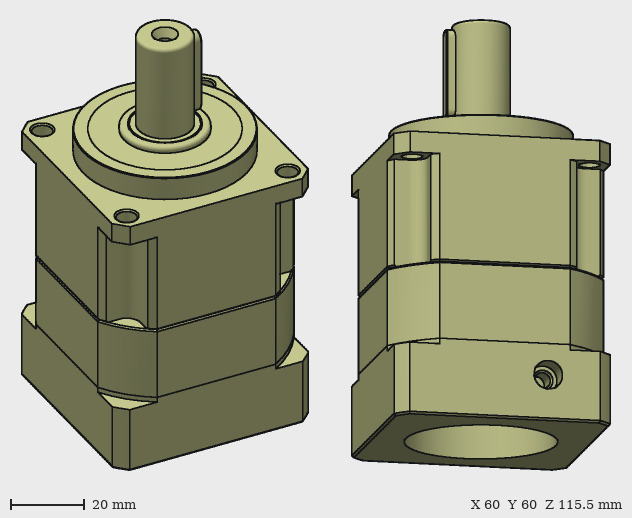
import cadquery as cq
import math

side = 60.0
half_side = side / 2
body_corner_radius = 35.0
foot_corner_radius = 40.0

foot_top = 19.8
adapter_top = 21.3
joint_groove_level = 42.7
flange_bottom = 72.5
flange_top = 78.3
pilot_top = 85.2
collar_top = 87.0
shaft_top = 115.5

foot_chamfer = 0.6
motor_bore_radius = 20.8
access_y = -12.0
access_z = 12.6
access_radius = 3.9
access_depth = 6.9
clamp_hole_radius = 2.2
clamp_hole_chamfer = 0.6

joint_groove_chamfer = 0.5
flange_corner = 3.7
mount_offset = 24.6
mount_hole_radius = 2.9
mount_hole_chamfer = 0.5
relief_offset = 20.2
relief_fillet = 4.3
pilot_radius = 25.0
pilot_chamfer = 0.2

cover_radius = 20.9
collar_radius = 12.5
collar_fillet = 1.0
seal_groove_outer = 10.0
seal_groove_inner = 9.7
seal_groove_depth = 0.6

shaft_radius = 8.0
shaft_fillet = 1.0
center_hole_radius = 2.1
center_mouth_radius = 3.6
center_hole_depth = 16.2
center_mouth_angle = 60
drill_point_angle = 120

key_width = 5.0
key_length = 25.0
key_middle = 101.4
key_inner = 5.0
key_outer = 10.0
key_chamfer = 0.3


def square_block(bottom, top):
    return cq.Workplane("XY").workplane(offset=bottom).rect(side, side).extrude(top - bottom)


def disc(radius, bottom, top):
    return cq.Workplane("XY").workplane(offset=bottom).circle(radius).extrude(top - bottom)


def rounded_block(corner_radius, bottom, top):
    """Square block whose corners are cut by a circle about the Z axis."""
    return square_block(bottom, top).intersect(disc(corner_radius, bottom, top))


def make_adapter():
    foot = rounded_block(foot_corner_radius, 0, foot_top).faces("<Z").edges().chamfer(foot_chamfer)
    body = foot.union(rounded_block(body_corner_radius, foot_top, adapter_top))
    body = body.cut(disc(motor_bore_radius, 0, adapter_top))

    outer_face = cq.Workplane("YZ", origin=(-half_side, access_y, access_z))
    access_hole = outer_face.circle(access_radius).extrude(access_depth)
    clamp_hole = outer_face.circle(clamp_hole_radius).extrude(half_side)
    countersink = (
        outer_face.workplane(offset=access_depth)
        .circle(clamp_hole_radius + clamp_hole_chamfer)
        .workplane(offset=clamp_hole_chamfer)
        .circle(clamp_hole_radius)
        .loft()
    )
    return body.cut(access_hole).cut(clamp_hole).cut(countersink)


def cut_corner_reliefs(body):
    """Open pockets at the four corners that give room for the mounting screws."""
    relief_width = 2 * (half_side - relief_offset)
    reliefs = (
        cq.Workplane("XY").workplane(offset=joint_groove_level)
        .rect(side, side, forConstruction=True).vertices()
        .rect(relief_width, relief_width)
        .extrude(flange_bottom - joint_groove_level)
        .edges("|Z").fillet(relief_fillet)
    )
    return body.cut(reliefs)


def cut_mount_holes(body):
    mouth_radius = mount_hole_radius + mount_hole_chamfer
    return (
        body.faces(">Z").workplane()
        .rect(2 * mount_offset, 2 * mount_offset, forConstruction=True).vertices()
        .cskHole(2 * mount_hole_radius, 2 * mouth_radius, 90, depth=flange_top - flange_bottom)
    )


def make_housing():
    lower = rounded_block(body_corner_radius, adapter_top, joint_groove_level)
    lower = lower.faces(">Z").edges().chamfer(joint_groove_chamfer)
    upper = rounded_block(body_corner_radius, joint_groove_level, flange_bottom)
    upper = upper.faces("<Z").edges().chamfer(joint_groove_chamfer)
    flange = square_block(flange_bottom, flange_top).edges("|Z").chamfer(flange_corner)
    body = cut_mount_holes(cut_corner_reliefs(upper).union(flange)).union(lower)

    pilot = disc(pilot_radius, flange_top, pilot_top).faces(">Z").edges().chamfer(pilot_chamfer)
    cover_recess = disc(cover_radius, flange_top, pilot_top)
    return body.union(pilot).cut(cover_recess)


def make_cover():
    collar = disc(collar_radius, pilot_top, collar_top).faces(">Z").edges().fillet(collar_fillet)
    groove_bottom = collar_top - seal_groove_depth
    seal_groove = disc(seal_groove_outer, groove_bottom, collar_top).cut(
        disc(seal_groove_inner, groove_bottom, collar_top)
    )
    return disc(cover_radius, flange_top, pilot_top).union(collar).cut(seal_groove)


def make_center_hole():
    mouth_depth = (center_mouth_radius - center_hole_radius) / math.tan(math.radians(center_mouth_angle / 2))
    point_depth = center_hole_radius / math.tan(math.radians(drill_point_angle / 2))
    hole_bottom = shaft_top - center_hole_depth
    return (
        cq.Workplane("XZ")
        .moveTo(0, shaft_top)
        .lineTo(center_mouth_radius, shaft_top)
        .lineTo(center_hole_radius, shaft_top - mouth_depth)
        .lineTo(center_hole_radius, hole_bottom)
        .lineTo(0, hole_bottom - point_depth)
        .close()
        .revolve(360, (0, 0, 0), (0, 1, 0))
    )


def make_key():
    return (
        cq.Workplane("XZ", origin=(0, key_inner, key_middle))
        .slot2D(key_length, key_width, 90)
        .extrude(key_inner - key_outer)
        .faces(">Y").edges().chamfer(key_chamfer)
    )


def make_output():
    """Cover, shaft and key, which form one body."""
    shaft = disc(shaft_radius, flange_top, shaft_top).faces(">Z").edges().fillet(shaft_fillet)
    return make_cover().union(shaft.cut(make_center_hole())).union(make_key())


adapter = make_adapter()
housing = make_housing()
output = make_output()

result = cq.Compound.makeCompound([body.solids().val() for body in (adapter, housing, output)])